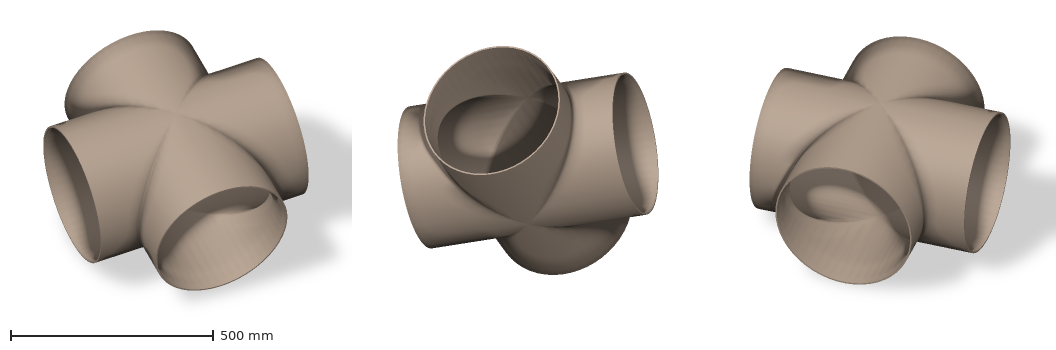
import cadquery as cq

length = 560.0
outer_diameter = 355.5
bore_diameter = 348.0
wall = (outer_diameter - bore_diameter) / 2

outer_seam_radius = 5.0
inner_seam_radius = outer_seam_radius + wall


def crossed_cylinders(diameter, seam_radius):
    """Two equal cylinders along X and Y, joined at the origin, with rounded seams."""
    along_x = cq.Workplane("YZ").circle(diameter / 2).extrude(length / 2, both=True)
    along_y = cq.Workplane("XZ").circle(diameter / 2).extrude(length / 2, both=True)
    cross = along_x.union(along_y)
    return cross.edges("%ELLIPSE").fillet(seam_radius)


outer_body = crossed_cylinders(outer_diameter, outer_seam_radius)
bore = crossed_cylinders(bore_diameter, inner_seam_radius)

result = outer_body.cut(bore)